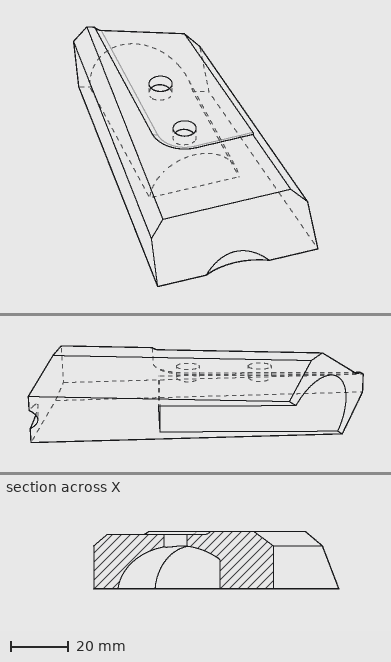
import cadquery as cq
import math

height = 20.0
wide_half_width = 29.6
side_taper = 5.0
axis_turn = -37.0
chamfer = 5.0
wide_end_lean = 29.7
narrow_end_lean = 24.3
narrow_end_skew = 67.0
narrow_end_bottom = -99.9

step_depth = 1.0
step_fillet = 2.5
seat_corner_radius = 10.0
seat_end = -45.0
seat_side = -10.0

hole_diameter = 8.0
hole_spacing = 25.0

channel_radius = 16.6
channel_height = 15.0
channel_end = seat_end

notch_radius = 25.0
notch_depth = 2.9

reach = 243.5


def chamfered_wedge():
    tail = -reach / 2
    head = reach / 10
    slope = math.tan(math.radians(side_taper))
    tail_half = wide_half_width + tail * slope
    head_half = wide_half_width + head * slope
    outline = [(tail, -tail_half), (head, -head_half), (head, head_half), (tail, tail_half)]
    wedge = cq.Workplane("XY").polyline(outline).close().extrude(height)
    return wedge.faces(">Z").edges("not |Y").chamfer(chamfer)


def end_limits():
    """Long bar whose two leaning ends bound the block."""
    wide_lean = math.tan(math.radians(wide_end_lean))
    wide_profile = [(-reach, 0), (0, 0), (-height * wide_lean, height), (-reach, height)]
    wide = cq.Workplane("XZ").polyline(wide_profile).close().extrude(reach / 2, both=True)

    narrow_lean = math.tan(math.radians(narrow_end_lean))
    narrow_profile = [(0, 0), (reach, 0), (reach, height), (-height * narrow_lean, height)]
    narrow = cq.Workplane("XZ").polyline(narrow_profile).close().extrude(reach / 2, both=True)
    narrow = narrow.rotate((0, 0, 0), (0, 0, 1), narrow_end_skew - 90)
    return wide.intersect(narrow.translate((narrow_end_bottom, 0, 0)))


def seat_cutter():
    """Seat pocket whose floor blends into its walls through a fillet."""
    end = seat_end + step_fillet
    side = seat_side - step_fillet
    block = (
        cq.Workplane("XY", origin=(end, side, height - step_depth))
        .box(reach, reach, 2 * step_fillet, centered=False)
        .translate((-reach, 0, 0))
    )
    block = block.edges("|Z and >X and <Y").fillet(seat_corner_radius + step_fillet)
    return block.faces("<Z").edges().fillet(step_fillet)


def hole_cutter():
    first = seat_end - seat_corner_radius
    centres = [(first - i * hole_spacing, 0) for i in range(2)]
    return cq.Workplane("XY").pushPoints(centres).circle(hole_diameter / 2).extrude(height)


def channel_cutter():
    centre = (channel_end, 0, channel_height - channel_radius)
    return cq.Workplane("YZ", origin=centre).circle(channel_radius).extrude(-reach)


def notch_cutter():
    centre_x = notch_radius - notch_depth
    return cq.Workplane("XY").center(centre_x, 0).circle(notch_radius).extrude(height)


body = chamfered_wedge().intersect(end_limits())
for cutter in (seat_cutter(), hole_cutter(), channel_cutter(), notch_cutter()):
    body = body.cut(cutter)

result = body.rotate((0, 0, 0), (0, 0, 1), axis_turn)